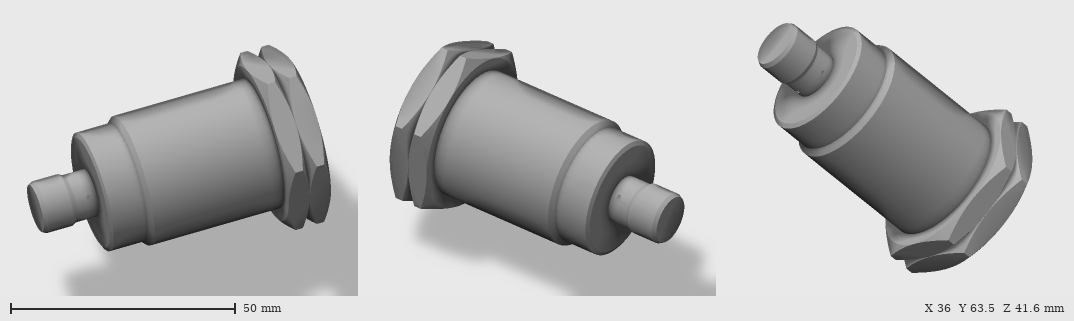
import cadquery as cq
import math

total_length = 63.5
nut_thickness = 5.0
nut_count = 2
barrel_end = 42.05
barrel_chamfer = 1.3
collar_end = 50.5
collar_chamfer_length = 0.5
neck_end = 55.6
plug_cone_length = 0.95
plug_chamfer_length = 0.95

barrel_diameter = 30.05
collar_diameter = 27.5
collar_face_diameter = 25.5
neck_diameter = 11.0
plug_diameter = 12.0
plug_face_diameter = 11.0

across_flats = 36.0
across_corners = across_flats / math.cos(math.radians(30))
nut_face_diameter = 35.9
nut_chamfer_angle = 30.0

dimple_diameter = 0.9
dimple_depth = 0.25
dimple_station = 52.4
dimple_count = 4
dimple_start_angle = 45.0


def revolve_about_y(profile):
    """Revolve a closed (radius, y) outline about the Y axis."""
    return cq.Workplane("XY").polyline(profile).close().revolve(360, (0, 0, 0), (0, 1, 0))


def make_body():
    """Stepped round body: barrel, collar, neck and connector plug."""
    barrel_radius = barrel_diameter / 2
    neck_radius = neck_diameter / 2
    plug_radius = plug_diameter / 2
    return revolve_about_y([
        (0, 0),
        (barrel_radius, 0),
        (barrel_radius, -(barrel_end - barrel_chamfer)),
        (collar_diameter / 2, -barrel_end),
        (collar_diameter / 2, -(collar_end - collar_chamfer_length)),
        (collar_face_diameter / 2, -collar_end),
        (neck_radius, -collar_end),
        (neck_radius, -neck_end),
        (plug_radius, -(neck_end + plug_cone_length)),
        (plug_radius, -(total_length - plug_chamfer_length)),
        (plug_face_diameter / 2, -total_length),
        (0, -total_length),
    ])


def make_nut(rear_station):
    """Hex nut with both faces chamfered conically, corners along Z."""
    rear = -rear_station
    front = rear - nut_thickness
    prism = (
        cq.Workplane("XZ", origin=(0, rear, 0))
        .transformed(rotate=(0, 0, 90))
        .polygon(6, across_corners)
        .extrude(nut_thickness)
    )
    face_radius = nut_face_diameter / 2
    corner_radius = across_corners / 2
    chamfer_length = (corner_radius - face_radius) * math.tan(math.radians(nut_chamfer_angle))
    envelope = revolve_about_y([
        (0, rear),
        (face_radius, rear),
        (corner_radius, rear - chamfer_length),
        (corner_radius, front + chamfer_length),
        (face_radius, front),
        (0, front),
    ])
    return prism.intersect(envelope)


def make_dimple(angle):
    """Radial drill cutting a shallow blind hole into the neck."""
    direction = cq.Vector(math.cos(math.radians(angle)), 0, math.sin(math.radians(angle)))
    floor = direction * (neck_diameter / 2 - dimple_depth) + cq.Vector(0, -dimple_station, 0)
    drill_length = 2 * dimple_depth
    return cq.Solid.makeCylinder(dimple_diameter / 2, drill_length, floor, direction)


result = make_body()
for index in range(nut_count):
    result = result.union(make_nut(index * nut_thickness))
for index in range(dimple_count):
    result = result.cut(cq.Workplane(make_dimple(dimple_start_angle + index * 360 / dimple_count)))